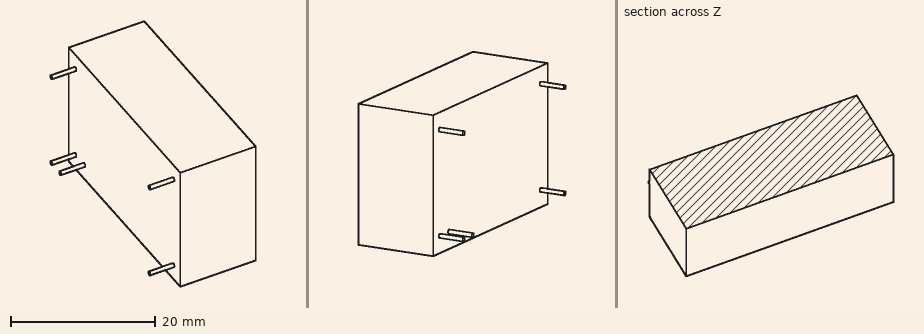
import cadquery as cq

body_length = 31.8
body_depth = 12.0
body_height = 20.3

pin_length = 3.82
pin_diameter = 0.6
pin_pitch = 2.55
row_spacing = 6 * pin_pitch
column_spacing = 11 * pin_pitch
left_margin = 1.88

left_x = left_margin
second_x = left_x + pin_pitch
right_x = left_x + column_spacing
bottom_z = (body_height - row_spacing) / 2
top_z = bottom_z + row_spacing

pin_positions = [
    (left_x, bottom_z),
    (second_x, bottom_z),
    (right_x, bottom_z),
    (left_x, top_z),
    (right_x, top_z),
]

body = cq.Workplane("XY").box(body_length, body_depth, body_height, centered=False)

pins = cq.Workplane("XZ").pushPoints(pin_positions).circle(pin_diameter / 2).extrude(pin_length)

result = body.union(pins)